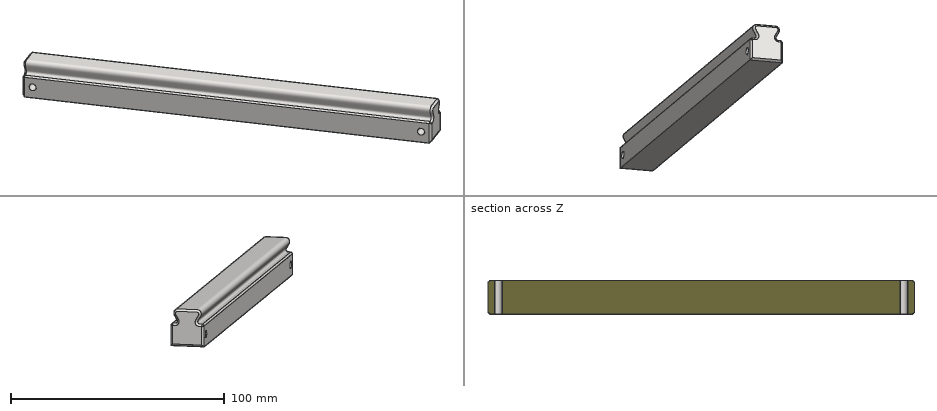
import cadquery as cq
import math

length = 200.0
width = 16.0
height = 17.5

shoulder_height = 10.8
shoulder_chamfer = 0.8

top_half_width = 4.5
head_radius = 2.0
flank_angle = math.radians(60)
neck_fillet = 1.0

end_chamfer = 1.0

hole_diameter = 3.5
hole_end_distance = 5.0
hole_height = 5.5


def rail_body():
    half_width = width / 2
    normal_y = math.sin(flank_angle)
    normal_z = -math.cos(flank_angle)
    head_center_z = height - head_radius
    fillet_center_z = shoulder_height + neck_fillet

    flank_top_y = top_half_width + head_radius * normal_y
    flank_top_z = head_center_z + head_radius * normal_z
    flank_bottom_z = fillet_center_z - neck_fillet * normal_z
    flank_bottom_y = flank_top_y - (flank_top_z - flank_bottom_z) / math.tan(flank_angle)
    fillet_center_y = flank_bottom_y + neck_fillet * normal_y

    half = (
        cq.Workplane("YZ", origin=(-length / 2, 0, 0))
        .lineTo(half_width, 0)
        .lineTo(half_width, shoulder_height - shoulder_chamfer)
        .lineTo(half_width - shoulder_chamfer, shoulder_height)
        .lineTo(fillet_center_y, shoulder_height)
        .threePointArc(
            (fillet_center_y - neck_fillet, fillet_center_z),
            (flank_bottom_y, flank_bottom_z),
        )
        .lineTo(flank_top_y, flank_top_z)
        .threePointArc(
            (top_half_width + head_radius, head_center_z),
            (top_half_width, height),
        )
        .lineTo(0, height)
    )
    return half.mirrorY().extrude(length)


def chamfer_ends(body):
    return body.faces("<X or >X").edges().chamfer(end_chamfer)


def cross_holes():
    hole_x = length / 2 - hole_end_distance
    return (
        cq.Workplane("XZ", origin=(0, width / 2, 0))
        .pushPoints([(-hole_x, hole_height), (hole_x, hole_height)])
        .circle(hole_diameter / 2)
        .extrude(width)
    )


result = chamfer_ends(rail_body()).cut(cross_holes())